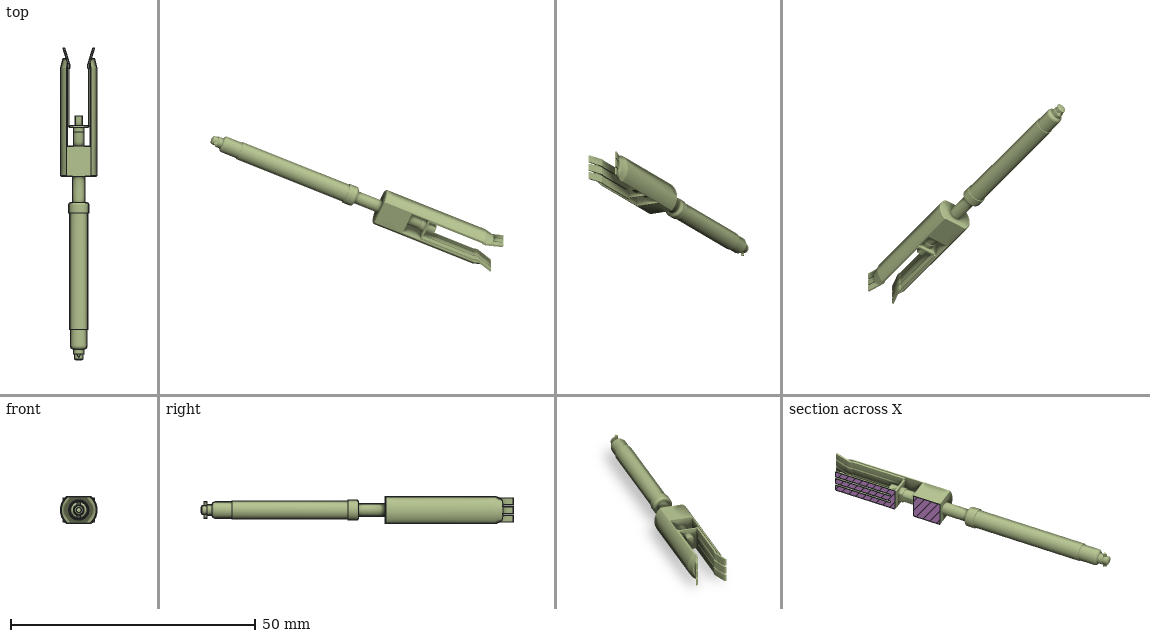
import cadquery as cq


body_radius = 3.75
body_height = 5.5
front_chamfer = 0.2
block_length = 6.2
channel_half_width = 2.35
prong_end = 24.15
prong_taper_start = 22.2
prong_tip_radius = 3.25
prong_corner_radius = 1.4

strip_thickness = 0.38
strip_height = 4.98
leg_outer = channel_half_width
leg_inner = leg_outer - strip_thickness
web_front = 10.07
web_height = 4.5
web_corner_radius = 0.12
leg_front = 10.25
slit_start = 11.45
slit_width = 0.33
tine_count = 3
jog_start = 22.05
jog_end = 22.2
jog_depth = 0.14
flare_start = 22.9
flare_end = 26.3
flare_offset = 0.9

rod_radius = 1.3
rod_head_radius = 1.5
rod_head_front = 9.1
stem_half_width = 1.12
tongue_radius = 1.45
tongue_half_width = 0.75
tongue_end = 12.4
collar_radius = 2.07
collar_back = -5.35
collar_front = -7.5
collar_rounding = 0.55
barrel_radius = 1.87
barrel_front = -31.35
nose_radius = 1.7
shoulder_front = -35.4
shoulder_rounding = 0.7
neck_radius = 1.1
neck_front = -36.4
tip_radius = 0.9
rod_front = -37.6
tip_chamfer_length = 0.2
tip_face_radius = 0.52

lug_width = 0.75
lug_depth = 0.65
lug_length = 3.4


def forked_body():
    profile = [
        (0, 0),
        (body_radius - front_chamfer, 0),
        (body_radius, front_chamfer),
        (body_radius, prong_taper_start),
        (prong_tip_radius, prong_end),
        (0, prong_end),
    ]
    bar = cq.Workplane("XY").polyline(profile).close().revolve(360, (0, 0), (0, 1))
    flats = (
        cq.Workplane("XY")
        .box(2 * body_radius, prong_end, body_height, centered=(True, False, True))
        .edges("|X and >Y")
        .fillet(prong_corner_radius)
    )
    channel = (
        cq.Workplane("XY")
        .box(2 * channel_half_width, prong_end, body_height, centered=(True, False, True))
        .translate((0, block_length, 0))
    )
    return bar.intersect(flats).cut(channel)


def spring_leg():
    """Right-hand leg: straight, a small inward jog, then flared outward."""
    jog_inner = leg_inner - jog_depth
    jog_outer = leg_outer - jog_depth
    outline = [
        (leg_inner, leg_front),
        (leg_inner, jog_start),
        (jog_inner, jog_end),
        (jog_inner, flare_start),
        (leg_inner + flare_offset, flare_end),
        (leg_outer + flare_offset, flare_end),
        (jog_outer, flare_start),
        (jog_outer, jog_end),
        (leg_outer, jog_start),
        (leg_outer, leg_front),
    ]
    return cq.Workplane("XY").polyline(outline).close().extrude(strip_height / 2, both=True)


def contact_spring():
    """Web plus two mirrored legs, slit lengthwise into tines."""
    leg = spring_leg()
    web = cq.Workplane("XY").box(
        2 * leg_inner, strip_thickness, web_height, centered=(True, False, True)
    ).translate((0, web_front, 0))
    web = web.edges("|Z and <Y").fillet(web_corner_radius)
    spring = web.union(leg).union(leg.mirror("YZ"))

    slit_length = flare_end - slit_start
    slit_pitch = (strip_height + slit_width) / tine_count
    for gap in range(tine_count - 1):
        slit_z = (gap - (tine_count - 2) / 2) * slit_pitch
        slit = cq.Workplane("XY").box(
            2 * body_radius, slit_length, slit_width, centered=(True, False, True)
        ).translate((0, slit_start, slit_z))
        spring = spring.cut(slit)
    return spring


def turned(radius, front, back):
    """Cylinder about the Y axis between two Y positions."""
    return cq.Workplane("XZ", origin=(0, back, 0)).circle(radius).extrude(back - front)


def flattened(radius, half_width, front, back):
    """Turned section narrowed by two side flats."""
    flats = cq.Workplane("XY", origin=(0, front, 0)).box(
        2 * half_width, back - front, 2 * radius, centered=(True, False, True)
    )
    return turned(radius, front, back).intersect(flats)


def plunger_rod():
    rod = flattened(rod_radius, stem_half_width, 0, rod_head_front)
    rod = rod.union(flattened(rod_head_radius, stem_half_width, rod_head_front, web_front))
    rod = rod.union(flattened(tongue_radius, tongue_half_width, web_front, tongue_end))
    rod = rod.union(turned(rod_radius, collar_front, block_length / 2))
    collar = turned(collar_radius, collar_front, collar_back).faces(">Y").edges().fillet(collar_rounding)
    rod = rod.union(collar)
    rod = rod.union(turned(barrel_radius, barrel_front, collar_front))
    nose = turned(nose_radius, shoulder_front, barrel_front).faces("<Y").edges().fillet(shoulder_rounding)
    rod = rod.union(nose)
    rod = rod.union(turned(neck_radius, neck_front, shoulder_front))
    tip_chamfer_front = rod_front + tip_chamfer_length
    rod = rod.union(turned(tip_radius, tip_chamfer_front, neck_front))
    cone = (
        cq.Workplane("XZ", origin=(0, tip_chamfer_front, 0))
        .circle(tip_radius)
        .workplane(offset=tip_chamfer_length)
        .circle(tip_face_radius)
        .loft()
    )
    return rod.union(cone)


def cross_lug():
    outline = [
        (-lug_width / 2, neck_front),
        (lug_width / 2, neck_front),
        (0, neck_front - lug_depth),
    ]
    return cq.Workplane("XY").polyline(outline).close().extrude(lug_length / 2, both=True)


result = forked_body().union(contact_spring()).union(plunger_rod()).union(cross_lug())